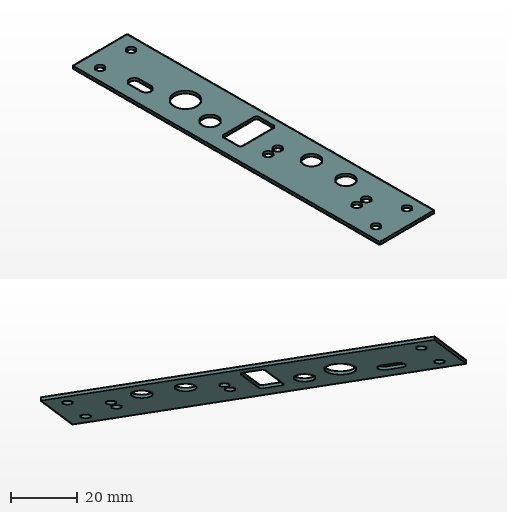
import cadquery as cq

length = 130.0
width = 23.2
thickness = 1.12

small_hole_diameter = 3.2
mount_hole_x = 58.4
mount_hole_y = 6.6

pair_positions_x = (9.0, 46.5)
pair_centre_y = -0.77
pair_spacing = 4.06

medium_hole_diameter = 6.5
medium_hole_positions = ((-15.55, -2.85), (20.5, 4.15), (35.0, 4.15))
large_hole_diameter = 9.5
large_hole_position = (-28.5, -0.32)

window_length = 8.1
window_width = 15.0
window_corner_radius = 1.0
window_position = (-3.5, 1.4)

slot_length = 9.0
slot_width = 4.0
slot_position = (-43.5, -4.5)


def round_cutters(positions, diameter):
    """Cylinders through the full thickness at the given centres."""
    return cq.Workplane("XY").pushPoints(positions).circle(diameter / 2).extrude(thickness)


def window_cutter():
    """Block through the full thickness with rounded upright edges."""
    outline = cq.Workplane("XY").center(*window_position).rect(window_length, window_width)
    return outline.extrude(thickness).edges("|Z").fillet(window_corner_radius)


def slot_cutter():
    """Slot along X through the full thickness."""
    outline = cq.Workplane("XY").center(*slot_position).slot2D(slot_length, slot_width)
    return outline.extrude(thickness)


mount_positions = [
    (side_x * mount_hole_x, side_y * mount_hole_y)
    for side_x in (-1, 1)
    for side_y in (-1, 1)
]
pair_positions = [
    (x, pair_centre_y + side * pair_spacing / 2)
    for x in pair_positions_x
    for side in (-1, 1)
]

result = cq.Workplane("XY").rect(length, width).extrude(thickness)
result = result.cut(round_cutters(mount_positions + pair_positions, small_hole_diameter))
result = result.cut(round_cutters(medium_hole_positions, medium_hole_diameter))
result = result.cut(round_cutters([large_hole_position], large_hole_diameter))
result = result.cut(window_cutter())
result = result.cut(slot_cutter())